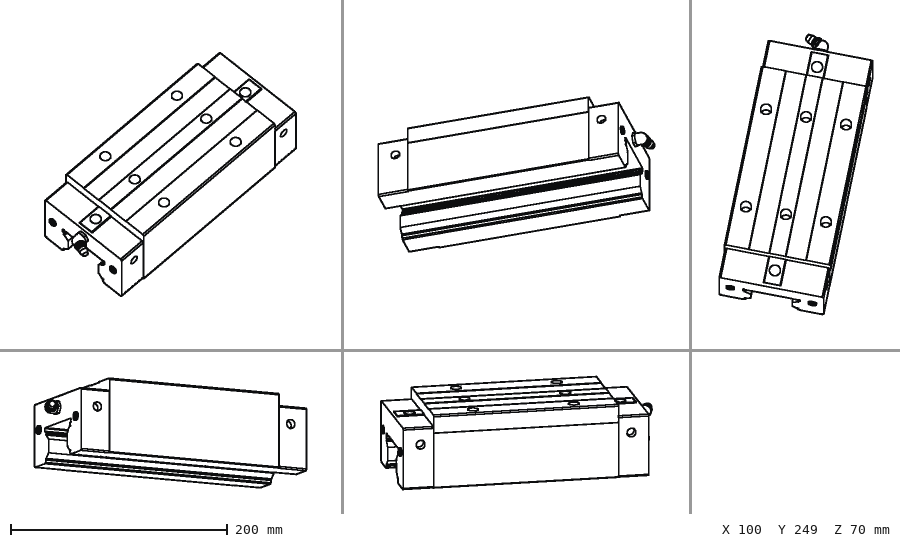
import cadquery as cq
import math


BLOCK_WIDTH = 100.0
BLOCK_LENGTH = 174.4
BLOCK_HEIGHT = 70.0
BLOCK_TOP_CHAMFER = 1.5
BLOCK_BOTTOM_CHAMFER = 0.7
RELIEF_HALF_WIDTH = 49.3
RELIEF_TOP = 52.8
PAD_HALF_WIDTH = 7.5
OUTER_PAD_START = 27.2
PAD_HEIGHT = 0.5

HOLE_DIAMETER = 10.0
HOLE_DEPTH = 20.0
HOLE_SPACING_X = 37.5
HOLE_SPACING_Y = 95.2
DRILL_POINT_ANGLE = 118.0

CAP_WIDTH = 98.5
CAP_LENGTH = 28.6
CAP_HEIGHT = 58.8
CAP_CHAMFER = 1.5
END_PLATE_THICKNESS = 3.2
STRIP_HEIGHT = 0.7
PORT_OFFSET = 12.2
SIDE_PORT_DIAMETER = 8.2
SIDE_PORT_HEIGHT = 42.3
SIDE_PORT_DEPTH = 7.5
TOP_PORT_DIAMETER = 10.2
TOP_PORT_DEPTH = 0.2

SCREW_X = 38.5
SCREW_Z = 33.6
SCREW_HEAD_DIAMETER = 7.7
SCREW_HEAD_HEIGHT = 1.7
SCREW_HEAD_CHAMFER = 0.5
SOCKET_FLATS = 3.0
SOCKET_DEPTH = 1.0

RAIL_HALF_PROFILE = [
    (26.2, 33.6),
    (27.0, 33.0),
    (27.0, 30.1),
    (25.7, 30.1),
    (24.5, 29.0),
    (24.5, 27.6),
    (25.5, 27.0),
    (24.2, 26.5),
    (19.5, 22.0),
    (19.5, 9.0),
    (24.2, 4.5),
    (25.5, 4.0),
    (24.5, 3.0),
    (25.7, 1.0),
    (27.0, 0.0),
]

NIPPLE_Z = 48.0
NIPPLE_DIAMETER = 11.2
BASE_HEX_LENGTH = 2.5
BARREL_LENGTH = 4.5
ARM_TILT = 22.0
ARM_HEX_FLATS = 9.5
ARM_HEX_START = 4.7
ARM_HEX_END = 6.7
COLLAR_END = 8.2
BARB_START = 9.5
BARB_END = 12.7
ARM_TIP = 16.5
COLLAR_RADIUS = 4.5
NECK_RADIUS = 3.5
BARB_RADIUS = 4.0
TIP_RADIUS = 2.7

BLOCK_END = BLOCK_LENGTH / 2
CAP_END = BLOCK_END + CAP_LENGTH
ENDS = (-1, 1)
SIDES = (-1, 1)


def extrude_along_y(points, length):
    """Extrude an X-Z outline by the given length, centred on Y = 0."""
    return cq.Workplane("XZ").polyline(points).close().extrude(length / 2, both=True)


def hexagon_corners(flats):
    """Diameter across the corners of a hexagon."""
    return flats / math.cos(math.radians(30))


def make_block():
    half = BLOCK_WIDTH / 2
    floor = BLOCK_HEIGHT - PAD_HEIGHT
    outline = [
        (-RELIEF_HALF_WIDTH + BLOCK_BOTTOM_CHAMFER, 0),
        (half - BLOCK_BOTTOM_CHAMFER, 0),
        (half, BLOCK_BOTTOM_CHAMFER),
        (half, BLOCK_HEIGHT - BLOCK_TOP_CHAMFER),
        (half - BLOCK_TOP_CHAMFER, BLOCK_HEIGHT),
        (OUTER_PAD_START, BLOCK_HEIGHT),
        (OUTER_PAD_START - PAD_HEIGHT, floor),
        (PAD_HALF_WIDTH + PAD_HEIGHT, floor),
        (PAD_HALF_WIDTH, BLOCK_HEIGHT),
        (-PAD_HALF_WIDTH, BLOCK_HEIGHT),
        (-PAD_HALF_WIDTH - PAD_HEIGHT, floor),
        (-OUTER_PAD_START + PAD_HEIGHT, floor),
        (-OUTER_PAD_START, BLOCK_HEIGHT),
        (-half + BLOCK_TOP_CHAMFER, BLOCK_HEIGHT),
        (-half, BLOCK_HEIGHT - BLOCK_TOP_CHAMFER),
        (-half, RELIEF_TOP),
        (-RELIEF_HALF_WIDTH, RELIEF_TOP),
        (-RELIEF_HALF_WIDTH, BLOCK_BOTTOM_CHAMFER),
    ]
    return extrude_along_y(outline, BLOCK_LENGTH)


def make_caps():
    """Both end caps as one bar that runs through the block."""
    bar = (
        cq.Workplane("XY")
        .box(CAP_WIDTH, 2 * CAP_END, CAP_HEIGHT, centered=(True, True, False))
        .edges("|Y")
        .chamfer(CAP_CHAMFER)
    )
    strip_top = CAP_HEIGHT + STRIP_HEIGHT
    strip = [
        (-PAD_HALF_WIDTH - STRIP_HEIGHT, CAP_HEIGHT),
        (PAD_HALF_WIDTH + STRIP_HEIGHT, CAP_HEIGHT),
        (PAD_HALF_WIDTH, strip_top),
        (-PAD_HALF_WIDTH, strip_top),
    ]
    return bar.union(extrude_along_y(strip, 2 * (CAP_END - END_PLATE_THICKNESS)))


def make_rail_opening():
    other_half = [(-x, z) for x, z in reversed(RAIL_HALF_PROFILE)]
    return extrude_along_y(RAIL_HALF_PROFILE + other_half, 2 * CAP_END)


def make_mounting_holes():
    radius = HOLE_DIAMETER / 2
    point_length = radius / math.tan(math.radians(DRILL_POINT_ANGLE / 2))
    hole_bottom = BLOCK_HEIGHT - HOLE_DEPTH
    drill = (
        cq.Workplane("XZ")
        .moveTo(0, BLOCK_HEIGHT)
        .lineTo(radius, BLOCK_HEIGHT)
        .lineTo(radius, hole_bottom)
        .lineTo(0, hole_bottom - point_length)
        .close()
        .revolve(360, (0, 0, 0), (0, 1, 0))
    )
    places = cq.Workplane("XY").rarray(HOLE_SPACING_X, HOLE_SPACING_Y, 3, 2)
    return places.eachpoint(lambda place: drill.val().moved(place), combine=True)


def make_ports():
    """Lubrication ports: blind on both sides of each cap, a shallow recess on each strip."""
    strip_top = CAP_HEIGHT + STRIP_HEIGHT
    ports = cq.Workplane("XY")
    for end in ENDS:
        y = end * (BLOCK_END + PORT_OFFSET)
        top_port = (
            cq.Workplane("XY", origin=(0, y, strip_top))
            .circle(TOP_PORT_DIAMETER / 2)
            .extrude(-TOP_PORT_DEPTH)
        )
        ports = ports.add(top_port)
        for side in SIDES:
            side_port = (
                cq.Workplane("YZ", origin=(side * CAP_WIDTH / 2, y, SIDE_PORT_HEIGHT))
                .circle(SIDE_PORT_DIAMETER / 2)
                .extrude(-side * SIDE_PORT_DEPTH)
            )
            ports = ports.add(side_port)
    return ports.combine()


def make_screw_head(end, side):
    plane = cq.Plane(
        origin=(side * SCREW_X, end * CAP_END, SCREW_Z),
        xDir=(1, 0, 0),
        normal=(0, end, 0),
    )
    outer_face = ">Y" if end > 0 else "<Y"
    return (
        cq.Workplane(plane)
        .circle(SCREW_HEAD_DIAMETER / 2)
        .extrude(SCREW_HEAD_HEIGHT)
        .faces(outer_face)
        .chamfer(SCREW_HEAD_CHAMFER)
        .faces(outer_face)
        .workplane()
        .polygon(6, hexagon_corners(SOCKET_FLATS))
        .cutBlind(-SOCKET_DEPTH)
    )


def make_nipple():
    """Hexagon base, barrel and ball along -Y, then a barbed arm tilted off +X."""
    radius = NIPPLE_DIAMETER / 2
    ball_y = -CAP_END - BASE_HEX_LENGTH - BARREL_LENGTH
    base = (
        cq.Workplane("XZ", origin=(0, -CAP_END, NIPPLE_Z))
        .polygon(6, hexagon_corners(NIPPLE_DIAMETER))
        .extrude(BASE_HEX_LENGTH)
    )
    barrel = (
        cq.Workplane("XZ", origin=(0, -CAP_END, NIPPLE_Z))
        .circle(radius)
        .extrude(BASE_HEX_LENGTH + BARREL_LENGTH)
    )
    ball = cq.Workplane("XY").sphere(radius).translate((0, ball_y, NIPPLE_Z))

    barb = (
        cq.Workplane("XY")
        .polyline([
            (0, 0),
            (0, COLLAR_RADIUS),
            (COLLAR_END, COLLAR_RADIUS),
            (COLLAR_END, NECK_RADIUS),
            (BARB_START, NECK_RADIUS),
            (BARB_START, BARB_RADIUS),
            (BARB_END, BARB_RADIUS),
            (ARM_TIP, TIP_RADIUS),
            (ARM_TIP, 0),
        ])
        .close()
        .revolve(360, (0, 0, 0), (1, 0, 0))
    )
    arm_hex = (
        cq.Workplane("YZ", origin=(ARM_HEX_START, 0, 0))
        .polygon(6, hexagon_corners(ARM_HEX_FLATS))
        .extrude(ARM_HEX_END - ARM_HEX_START)
    )
    arm = (
        barb.union(arm_hex)
        .rotate((0, 0, 0), (0, 0, 1), -ARM_TILT)
        .translate((0, ball_y, NIPPLE_Z))
    )
    return base.union(barrel).union(ball).union(arm)


result = (
    make_block()
    .union(make_caps())
    .cut(make_rail_opening())
    .cut(make_mounting_holes())
    .cut(make_ports())
)
for end in ENDS:
    for side in SIDES:
        result = result.union(make_screw_head(end, side))
result = result.union(make_nipple())